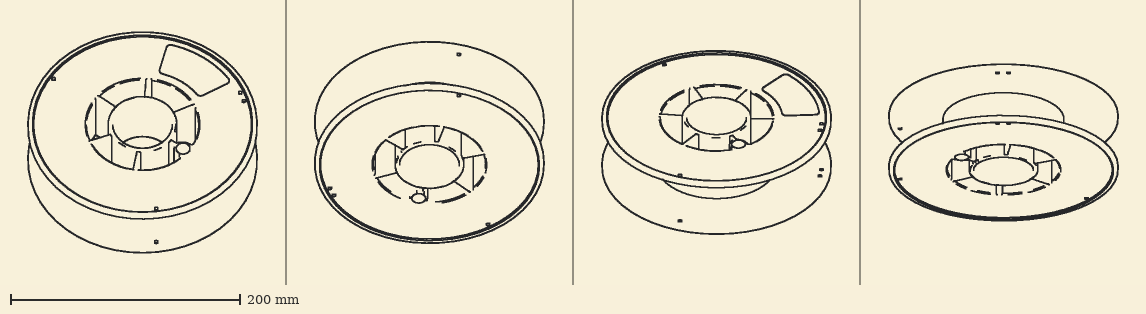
import cadquery as cq
import math

FLANGE_RADIUS = 100.0
SPOOL_HEIGHT = 55.0
FLANGE_THICKNESS = 5.0
BARREL_RADIUS = 52.8

RIM_INNER_RADIUS = 96.0
RIM_STEP = 1.0
EDGE_ROUND = 1.0
INNER_EDGE_ROUND = 0.5

HUB_RADIUS = 30.0
BORE_RADIUS = 26.0

WINDOW_RADIUS = 49.0
SPOKE_COUNT = 6
SPOKE_WIDTH_AT_HUB = 3.5
SPOKE_WIDTH_AT_BARREL = 5.5

BOSS_DISTANCE = 44.0
BOSS_RADIUS = 8.0
BOSS_HOLE_RADIUS = 6.0
BOSS_SPOKE_BLEND = 3.0
BOSS_BARREL_BLEND = 2.0

FILAMENT_HOLE_RADIUS = 1.5
FILAMENT_HOLE_DISTANCE = 92.0
FILAMENT_HOLE_ANGLES = (52.6, 58.6, 184.0, 314.0)

LABEL_OUTER_RADIUS = 90.0
LABEL_INNER_RADIUS = 57.5
LABEL_HALF_ANGLE = 22.5
LABEL_CORNER_RADIUS = 4.0
LABEL_DEPTH = 0.5

HALF_HEIGHT = SPOOL_HEIGHT / 2
FACE_HEIGHT = HALF_HEIGHT - RIM_STEP
FLANGE_UNDERSIDE = HALF_HEIGHT - FLANGE_THICKNESS
TOL = 0.02


def cylinder(radius, half_height):
    """Cylinder on the Z axis reaching equally far above and below the origin."""
    return cq.Workplane("XY", origin=(0, 0, -half_height)).circle(radius).extrude(2 * half_height)


def polar(radius, angle):
    """Point at a radius and an angle in degrees from +X."""
    return (radius * math.cos(math.radians(angle)), radius * math.sin(math.radians(angle)))


def edges_at_height(body, height, picked):
    """Edges lying at +height or -height that pass the given test."""
    return body.edges().filter(
        lambda edge: abs(abs(edge.Center().z) - height) < TOL
        and edge.BoundingBox().zlen < TOL
        and picked(edge)
    )


def make_spool():
    """Solid spool: barrel and two flanges with raised rims, revolved about Z."""
    upper_half = [
        (BARREL_RADIUS, FLANGE_UNDERSIDE),
        (FLANGE_RADIUS, FLANGE_UNDERSIDE),
        (FLANGE_RADIUS, HALF_HEIGHT),
        (RIM_INNER_RADIUS, HALF_HEIGHT),
        (RIM_INNER_RADIUS - RIM_STEP, FACE_HEIGHT),
        (0, FACE_HEIGHT),
    ]
    lower_half = [(radius, -height) for radius, height in reversed(upper_half)]
    outline = [(-radius, height) for radius, height in upper_half + lower_half]
    spool = cq.Workplane("XZ").polyline(outline).close().revolve(360, (0, 0, 0), (0, 1, 0))

    def rim_edges(height):
        return edges_at_height(spool, height, lambda edge: abs(edge.radius() - FLANGE_RADIUS) < TOL)

    spool = rim_edges(HALF_HEIGHT).fillet(EDGE_ROUND)
    return rim_edges(FLANGE_UNDERSIDE).fillet(INNER_EDGE_ROUND)


def make_spoke(angle, outer_width):
    """Straight spoke from inside the hub to inside the barrel wall."""
    slope = (outer_width - SPOKE_WIDTH_AT_HUB) / 2 / (WINDOW_RADIUS - HUB_RADIUS)

    def half_width(radius):
        return SPOKE_WIDTH_AT_HUB / 2 + slope * (radius - HUB_RADIUS)

    start, end = BORE_RADIUS, BARREL_RADIUS
    corners = [(start, -half_width(start)), (end, -half_width(end))]
    corners += [(x, -y) for x, y in reversed(corners)]
    return (
        cq.Workplane("XY", origin=(0, 0, -FACE_HEIGHT))
        .polyline(corners)
        .close()
        .extrude(2 * FACE_HEIGHT)
        .rotate((0, 0, 0), (0, 0, 1), angle)
    )


def make_windows():
    """The six openings between hub and barrel, as one cutting body."""
    inner = (HUB_RADIUS + BORE_RADIUS) / 2
    windows = cylinder(WINDOW_RADIUS, FACE_HEIGHT).cut(cylinder(inner, FACE_HEIGHT))
    boss = cylinder(BOSS_RADIUS, FACE_HEIGHT).translate((BOSS_DISTANCE, 0, 0))
    windows = windows.cut(make_spoke(0, SPOKE_WIDTH_AT_HUB)).cut(boss)
    for index in range(1, SPOKE_COUNT):
        windows = windows.cut(make_spoke(index * 360 / SPOKE_COUNT, SPOKE_WIDTH_AT_BARREL))

    def vertical_near(radius_low, radius_high):
        return windows.edges("|Z").filter(
            lambda edge: radius_low < math.hypot(edge.Center().x, edge.Center().y) < radius_high
            and edge.Center().x > 0
            and abs(edge.Center().y) < BOSS_RADIUS
        )

    windows = vertical_near(HUB_RADIUS, BOSS_DISTANCE).fillet(BOSS_SPOKE_BLEND)
    return vertical_near(BOSS_DISTANCE, BARREL_RADIUS).fillet(BOSS_BARREL_BLEND)


def borders_window(edge):
    """True for an edge between the hub and the barrel wall."""
    distance = math.hypot(edge.Center().x, edge.Center().y)
    return HUB_RADIUS < distance < BARREL_RADIUS


def make_hub():
    """Hub tube, level with the rims and rounded at both ends."""
    hub = cylinder(HUB_RADIUS, HALF_HEIGHT).cut(cylinder(BORE_RADIUS, HALF_HEIGHT))
    return hub.faces("|Z").edges().fillet(EDGE_ROUND)


def make_boss_rounding():
    """Cutter that rounds the free walls of the boss over their whole thickness, at both ends."""
    round_radius = BOSS_RADIUS - BOSS_HOLE_RADIUS
    to_barrel_blend = BOSS_RADIUS + BOSS_BARREL_BLEND
    barrel_blend_distance = WINDOW_RADIUS - BOSS_BARREL_BLEND
    start_angle = math.degrees(math.acos(
        (barrel_blend_distance**2 - BOSS_DISTANCE**2 - to_barrel_blend**2)
        / (2 * BOSS_DISTANCE * to_barrel_blend)
    ))
    spoke_blend_offset = SPOKE_WIDTH_AT_HUB / 2 + BOSS_SPOKE_BLEND
    end_angle = 180 - math.degrees(math.asin(spoke_blend_offset / (BOSS_RADIUS + BOSS_SPOKE_BLEND)))

    arc_middle = round_radius * math.sqrt(0.5)
    base = FACE_HEIGHT - round_radius
    upper = (
        cq.Workplane("XZ")
        .moveTo(BOSS_HOLE_RADIUS, FACE_HEIGHT)
        .threePointArc((BOSS_HOLE_RADIUS + arc_middle, base + arc_middle), (BOSS_RADIUS, base))
        .lineTo(BOSS_RADIUS, FACE_HEIGHT)
        .close()
        .revolve(end_angle - start_angle, (0, 0, 0), (0, 1, 0))
    )
    upper = upper.rotate((0, 0, 0), (0, 0, 1), start_angle).translate((BOSS_DISTANCE, 0, 0))
    one_end = upper.union(upper.mirror("XZ"))
    return one_end.union(one_end.mirror("XY"))


def make_label():
    """Ring sector centred on +Y with rounded corners, used to sink the label."""
    left = 90 + LABEL_HALF_ANGLE
    right = 90 - LABEL_HALF_ANGLE
    return (
        cq.Workplane("XY", origin=(0, 0, FACE_HEIGHT - LABEL_DEPTH))
        .moveTo(*polar(LABEL_INNER_RADIUS, left))
        .lineTo(*polar(LABEL_OUTER_RADIUS, left))
        .threePointArc(polar(LABEL_OUTER_RADIUS, 90), polar(LABEL_OUTER_RADIUS, right))
        .lineTo(*polar(LABEL_INNER_RADIUS, right))
        .threePointArc(polar(LABEL_INNER_RADIUS, 90), polar(LABEL_INNER_RADIUS, left))
        .close()
        .extrude(LABEL_DEPTH)
        .edges("|Z")
        .fillet(LABEL_CORNER_RADIUS)
    )


body = make_spool().cut(make_windows())
body = edges_at_height(body, FACE_HEIGHT, borders_window).fillet(EDGE_ROUND)
body = body.cut(cylinder(HUB_RADIUS - EDGE_ROUND, HALF_HEIGHT)).union(make_hub())

body = body.cut(make_boss_rounding())
body = body.cut(cylinder(BOSS_HOLE_RADIUS, HALF_HEIGHT).translate((BOSS_DISTANCE, 0, 0)))

for hole_angle in FILAMENT_HOLE_ANGLES:
    hole_x, hole_y = polar(FILAMENT_HOLE_DISTANCE, hole_angle)
    body = body.cut(cylinder(FILAMENT_HOLE_RADIUS, HALF_HEIGHT).translate((hole_x, hole_y, 0)))

result = body.cut(make_label())